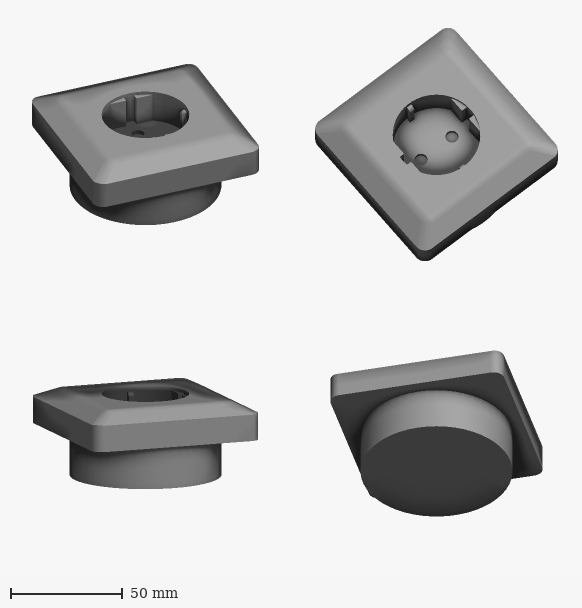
import cadquery as cq

plate_side = 80.0
rim_height = 12.0
slope_height = 5.0
slope_run = 10.0
corner_radius = 5.0
slope_edge_radius = 8.5
plate_top = rim_height + slope_height

body_diameter = 68.0
body_height = 20.0

recess_diameter = 39.2
recess_depth = 15.0
recess_radius = recess_diameter / 2
floor_z = plate_top - recess_depth

guide_half_spacing = 16.6
guide_gap = 5.0
guide_drop = 1.5

clip_width = 2.5
clip_inner_y = 17.2
clip_height = 12.5
clip_top_radius = 2.1

pin_spacing = 17.8
pin_diameter = 5.8
pin_depth = 2.0


def make_plate():
    """Sloped block with rounded ridges, trimmed to a rounded square."""
    top_side = plate_side - 2 * slope_run
    rim = cq.Workplane("XY").rect(plate_side, plate_side).extrude(rim_height)
    slope = (
        cq.Workplane("XY").workplane(offset=rim_height).rect(plate_side, plate_side)
        .workplane(offset=slope_height).rect(top_side, top_side)
        .loft(ruled=True, combine=True)
        .faces("not <Z").edges("not <Z").fillet(slope_edge_radius)
    )
    outline = (
        cq.Workplane("XY").rect(plate_side, plate_side).extrude(plate_top)
        .edges("|Z").fillet(corner_radius)
    )
    return rim.union(slope).intersect(outline)


def make_guides():
    """Four circle segments, split by a central gap on each side."""
    height = recess_depth - guide_drop
    disc = cq.Workplane("XY").workplane(offset=floor_z).circle(recess_radius).extrude(height)
    middle = cq.Workplane("XY").box(2 * guide_half_spacing, recess_diameter, 2 * plate_top)
    gap = cq.Workplane("XY").box(recess_diameter, guide_gap, 2 * plate_top)
    return disc.cut(middle).cut(gap)


def make_clip():
    """Earth clip at +Y, its upper inner edge rounded."""
    length = recess_radius - clip_inner_y
    return (
        cq.Workplane("XY").workplane(offset=floor_z)
        .center(0, clip_inner_y + length / 2)
        .rect(clip_width, length).extrude(clip_height)
        .faces(">Z").edges("<Y").fillet(clip_top_radius)
    )


body = cq.Workplane("XY").circle(body_diameter / 2).extrude(-body_height)
recess = cq.Workplane("XY").workplane(offset=floor_z).circle(recess_radius).extrude(recess_depth)
pin_holes = (
    cq.Workplane("XY").workplane(offset=floor_z)
    .pushPoints([(-pin_spacing / 2, 0), (pin_spacing / 2, 0)])
    .circle(pin_diameter / 2).extrude(-pin_depth)
)

result = make_plate().union(body).cut(recess).cut(pin_holes).union(make_guides())
clip = make_clip()
for angle in (0, 180):
    result = result.union(clip.rotate((0, 0, 0), (0, 0, 1), angle))